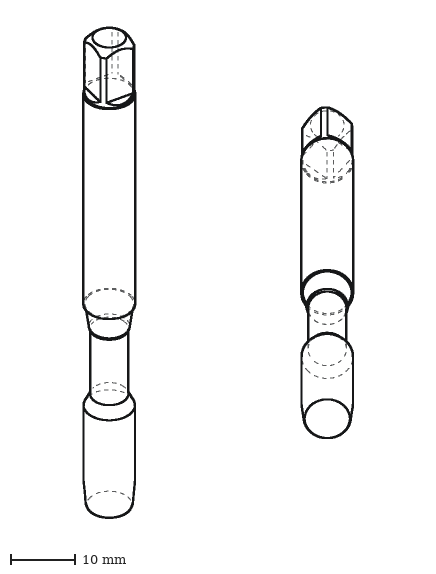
import cadquery as cq
import math

TOTAL_LENGTH = 90.2
BEVEL_HEIGHT = 0.45
LEAD_TOP = 4.5
CUTTING_LENGTH = 19.2
NECK_BOTTOM = 21.4
NECK_TOP = 34.0
SHANK_BOTTOM = 38.8
SHANK_TOP = 79.5

TIP_DIAMETER = 7.0
LEAD_DIAMETER = 7.4
CUTTING_DIAMETER = 8.0
NECK_DIAMETER = 5.95
COLLAR_DIAMETER = 6.4
TAPER_DIAMETER = 7.6
SHANK_DIAMETER = 8.1
SQUARE_CORNER_DIAMETER = 7.85
TOP_FACE_DIAMETER = 5.2

SQUARE_WIDTH = 6.2
FLAT_BOTTOM = 80.5
RAMP_SLOPE = 40
TOP_CONE_HEIGHT = 1.2
NECK_STEP = 0.45


def revolve_profile(points):
    """Turn (diameter, height) points into a solid about the Z axis."""
    outline = [(diameter / 2, height) for diameter, height in points]
    base, top = outline[0][1], outline[-1][1]
    return (
        cq.Workplane("XZ")
        .polyline([(0, base), *outline, (0, top)])
        .close()
        .revolve(360, (0, 0), (0, 1))
    )


def make_cutting_head():
    """Plain cylinder with a tapered lead and a bevelled tip."""
    return revolve_profile([
        (TIP_DIAMETER, 0),
        (LEAD_DIAMETER, BEVEL_HEIGHT),
        (CUTTING_DIAMETER, LEAD_TOP),
        (CUTTING_DIAMETER, CUTTING_LENGTH),
    ])


def make_flat_cutter():
    """Material removed beside one flat, with a sloping ramp at its foot."""
    flat = SQUARE_WIDTH / 2
    reach = SHANK_DIAMETER
    ramp_drop = (reach - flat) * math.tan(math.radians(RAMP_SLOPE))
    return (
        cq.Workplane("XZ")
        .polyline([
            (flat, FLAT_BOTTOM),
            (reach, FLAT_BOTTOM - ramp_drop),
            (reach, TOTAL_LENGTH),
            (flat, TOTAL_LENGTH),
        ])
        .close()
        .extrude(SHANK_DIAMETER / 2, both=True)
    )


def make_shank():
    """Neck with tapered ends, cylindrical shank and driving square."""
    shoulder_rise = (SHANK_DIAMETER - SQUARE_CORNER_DIAMETER) / 2
    shank = revolve_profile([
        (CUTTING_DIAMETER, CUTTING_LENGTH),
        (COLLAR_DIAMETER, NECK_BOTTOM - NECK_STEP),
        (NECK_DIAMETER, NECK_BOTTOM),
        (NECK_DIAMETER, NECK_TOP),
        (COLLAR_DIAMETER, NECK_TOP + NECK_STEP),
        (TAPER_DIAMETER, SHANK_BOTTOM),
        (SHANK_DIAMETER, SHANK_BOTTOM),
        (SHANK_DIAMETER, SHANK_TOP - shoulder_rise),
        (SQUARE_CORNER_DIAMETER, SHANK_TOP),
        (SQUARE_CORNER_DIAMETER, TOTAL_LENGTH - TOP_CONE_HEIGHT),
        (TOP_FACE_DIAMETER, TOTAL_LENGTH),
    ])
    cutter = make_flat_cutter()
    for angle in (0, 90, 180, 270):
        shank = shank.cut(cutter.rotate((0, 0, 0), (0, 0, 1), angle))
    return shank


cutting_head = make_cutting_head()
shank = make_shank()
result = cq.Compound.makeCompound([cutting_head.val(), shank.val()])